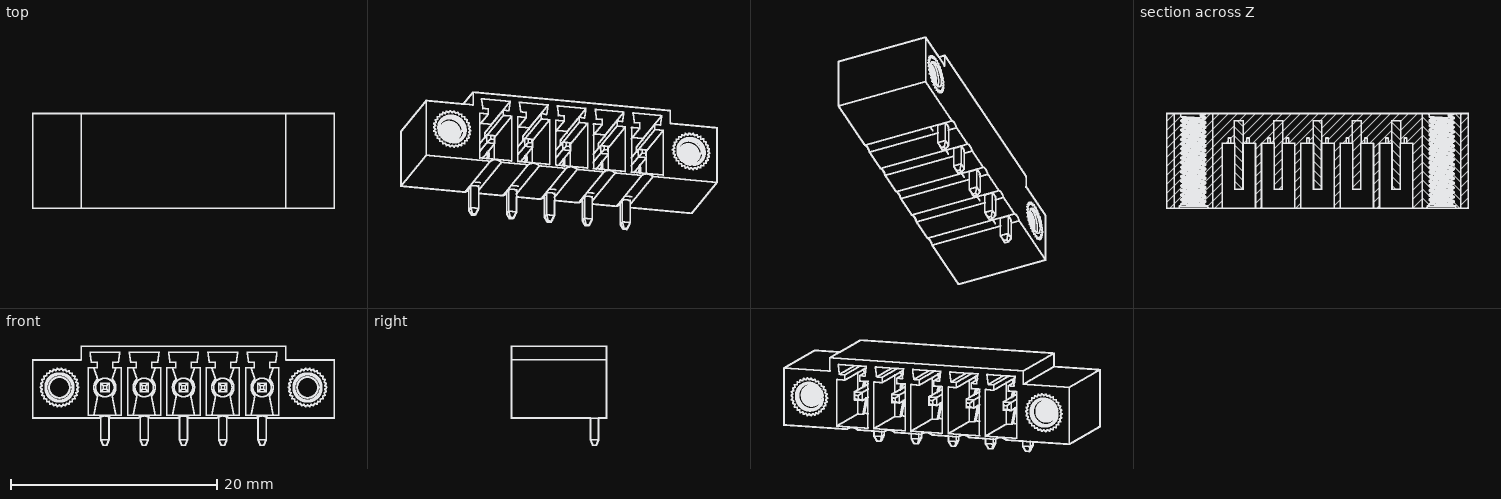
import cadquery as cq
import math


positions = 5
pitch = 3.81
length = 29.24
depth = 9.21
height = 6.96
flange_height = 5.64
middle_end_margin = 2.3
middle_length = (positions - 1) * pitch + 2 * middle_end_margin

axis_z = 2.96
floor_z = 0.25
shelf_z = 4.85
chamber_width = 3.2
chamber_depth = 6.3
recess_depth = 6.8
neck_width = 1.5
slot_bottom_z = 5.38
slot_top_z = 6.35
slot_bottom_width = 2.62
slot_top_width = 2.88
waist_width = 1.4
waist_flare_width = 2.14
waist_half_height = 0.8
bell_diameter = 2.14
collar_diameter = 1.8

groove_diameter = 1.8
groove_roof_z = 0.2

pin_size = 0.8
pin_tip_size = 0.35
pin_tip_length = 0.54
pin_front_y = 1.3
leg_y = depth - 1.16
leg_bottom_z = -2.65

insert_spacing = 24.04
insert_diameter = 3.74
knurl_root_diameter = 3.36
knurl_teeth = 30
counterbore_diameter = 2.8
counterbore_depth = 0.2
thread_diameter = 2.5
thread_crest_diameter = 2.0
thread_pitch = 0.45
thread_crest_width = 0.08
thread_root_width = 0.4
thread_overlap = 0.02

pin_xs = [(i - (positions - 1) / 2) * pitch for i in range(positions)]
insert_xs = [-insert_spacing / 2, insert_spacing / 2]


def front_plane(x, z, y=0):
    """Sketch plane facing the mating side, centred on (x, y, z); extruding goes toward +Y."""
    return cq.Workplane(cq.Plane(origin=(x, y, z), xDir=(-1, 0, 0), normal=(0, 1, 0)))


def box_between(x_size, y_start, y_end, z_start, z_end, x=0):
    """Block centred on x in X and spanning the given Y and Z ranges."""
    box = cq.Workplane("XY").box(x_size, y_end - y_start, z_end - z_start, centered=(True, False, False))
    return box.translate((x, y_start, z_start))


def mirrored_outline(x, half_points, extrusion):
    """Prism along +Y whose outline is symmetric about x; half_points are (half width, z)."""
    left = [(-half, z) for half, z in reversed(half_points)]
    return front_plane(x, 0).polyline(half_points + left).close().extrude(extrusion)


def chamber(x):
    """Cavity of one position: plug space, T-shaped key slot, and a waisted recess with a collar."""
    plug_space = box_between(chamber_width, 0, chamber_depth, floor_z, shelf_z, x)
    key_slot = mirrored_outline(
        x,
        [
            (neck_width / 2, shelf_z),
            (neck_width / 2, slot_bottom_z),
            (slot_bottom_width / 2, slot_bottom_z),
            (slot_top_width / 2, slot_top_z),
        ],
        recess_depth,
    )
    waisted_recess = mirrored_outline(
        x,
        [
            (waist_flare_width / 2, floor_z),
            (waist_width / 2, axis_z - waist_half_height),
            (waist_width / 2, axis_z + waist_half_height),
            (waist_flare_width / 2, shelf_z),
        ],
        recess_depth,
    )
    bell = front_plane(x, axis_z).circle(bell_diameter / 2).extrude(recess_depth)
    collar_length = recess_depth - chamber_depth
    collar = front_plane(x, axis_z, chamber_depth).circle(collar_diameter / 2).extrude(collar_length)
    return plug_space.union(key_slot).union(waisted_recess).union(bell).cut(collar)


def relief_groove(x):
    """Shallow round-roofed groove along the underside."""
    return front_plane(x, groove_roof_z - groove_diameter / 2).circle(groove_diameter / 2).extrude(depth)


def pin(x):
    """Square pin with a horizontal contact and a vertical solder leg, both with tapered tips."""
    half = pin_size / 2
    contact_start = pin_front_y + pin_tip_length
    leg_start = leg_bottom_z + pin_tip_length
    contact = box_between(pin_size, contact_start, leg_y + half, axis_z - half, axis_z + half, x)
    leg = box_between(pin_size, leg_y - half, leg_y + half, leg_start, axis_z, x)
    contact_tip = (
        front_plane(x, axis_z, pin_front_y)
        .rect(pin_tip_size, pin_tip_size)
        .workplane(offset=pin_tip_length)
        .rect(pin_size, pin_size)
        .loft()
    )
    leg_tip = (
        cq.Workplane("XY", origin=(x, leg_y, leg_bottom_z))
        .rect(pin_tip_size, pin_tip_size)
        .workplane(offset=pin_tip_length)
        .rect(pin_size, pin_size)
        .loft()
    )
    return contact.union(leg).union(contact_tip).union(leg_tip)


def knurled_blank():
    """Outer shape of an insert at X = 0, also used to cut its seat in the flange."""
    half_step = math.pi / knurl_teeth
    radii = [insert_diameter / 2, knurl_root_diameter / 2]
    points = []
    for i in range(2 * knurl_teeth):
        radius = radii[i % 2]
        points.append((radius * math.cos(i * half_step), radius * math.sin(i * half_step)))
    return front_plane(0, axis_z).polyline(points).close().extrude(depth)


def thread_ridge():
    """Helical ridge standing in from the bore wall, between the counterbore and the back."""
    crest_radius = thread_crest_diameter / 2
    root_radius = thread_diameter / 2 + thread_overlap
    ridge_start = counterbore_depth + thread_root_width / 2
    ridge_length = depth - thread_root_width / 2 - ridge_start
    helix = cq.Wire.makeHelix(thread_pitch, ridge_length, root_radius)
    ridge = (
        cq.Workplane("XZ")
        .polyline(
            [
                (root_radius, -thread_root_width / 2),
                (crest_radius, -thread_crest_width / 2),
                (crest_radius, thread_crest_width / 2),
                (root_radius, thread_root_width / 2),
            ]
        )
        .close()
        .sweep(cq.Workplane(obj=helix), isFrenet=True)
    )
    return ridge.rotate((0, 0, 0), (1, 0, 0), -90).translate((0, ridge_start, axis_z))


def insert():
    """Knurled insert at X = 0 with a counterbored, threaded through hole."""
    bore = front_plane(0, axis_z).circle(thread_diameter / 2).extrude(depth)
    counterbore = front_plane(0, axis_z).circle(counterbore_diameter / 2).extrude(counterbore_depth)
    return knurled_blank().cut(bore).cut(counterbore).union(thread_ridge())


pins = [pin(x) for x in pin_xs]
centred_insert = insert()
inserts = [centred_insert.translate((x, 0, 0)) for x in insert_xs]

housing = box_between(length, 0, depth, 0, flange_height)
housing = housing.union(box_between(middle_length, 0, depth, 0, height))
for x, seated_pin in zip(pin_xs, pins):
    housing = housing.cut(chamber(x)).cut(relief_groove(x)).cut(seated_pin)
for x in insert_xs:
    housing = housing.cut(knurled_blank().translate((x, 0, 0)))

bodies = [housing] + pins + inserts
result = cq.Compound.makeCompound([body.solids().val() for body in bodies])